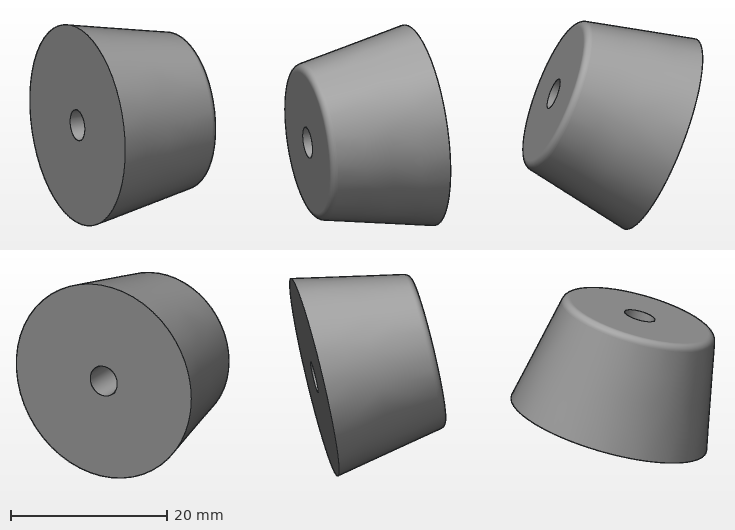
import cadquery as cq

base_diameter = 26.0
narrow_diameter = 20.02
height = 15.0
hole_diameter = 4.0
rim_fillet = 1.0

base_radius = base_diameter / 2
narrow_radius = narrow_diameter / 2

body = (
    cq.Workplane("XY")
    .polyline([(0, 0), (base_radius, 0), (narrow_radius, height), (0, height)])
    .close()
    .revolve(360, (0, 0, 0), (0, 1, 0))
)

body = body.faces(">Y").edges().fillet(rim_fillet)

result = body.faces("<Y").workplane(origin=(0, 0, 0)).hole(hole_diameter)